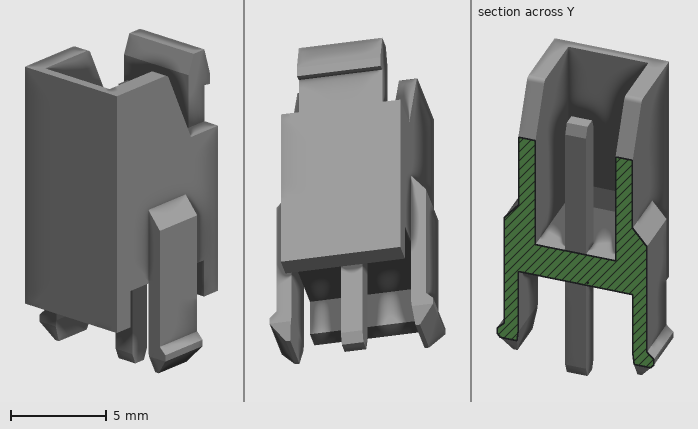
import cadquery as cq

TOP = 17.1

BODY_WIDTH = 6.43
BODY_DEPTH = 8.09
BODY_BOTTOM = 3.73
SHOULDER_Z = 13.05
SLOPE_FOOT_Y = 5.92
SLOPE_HEAD_Y = 4.05
SLOPE_ROUNDING = 0.32

CAVITY_WIDTH = 4.5
CAVITY_FRONT = 0.53
CAVITY_BACK = 6.8
CAVITY_FLOOR = 7.7
FLOOR_BEVEL_DEPTH = 0.4
FLOOR_BEVEL_HEIGHT = 1.03

SLOT_FRONT = 1.08
SLOT_BACK = 6.96
SLOT_TOP = 5.78

BARB_BACK = 8.55
BARB_CORNER_Z = 15.56
BARB_TIP_Z = 15.01
BARB_ROOT_Z = 15.08
LATCH_BEVEL_DEPTH = 0.43
LATCH_BEVEL_HEIGHT = 1.08

PIN_SIZE = 1.16
PIN_BACK = 5.4
PIN_TOP = 15.5
PIN_BEVEL_DEPTH = 0.24
PIN_BEVEL_HEIGHT = 0.6

CLIP_WIDTH = 2.98
CLIP_TIP_WIDTH = 2.22
CLIP_CENTER_Y = 4.0
CLIP_TOP = 9.94
CLIP_RAMP_END = 8.96
CLIP_OUTER = 4.02
CLIP_BARB_OUTER = 8.8 / 2
CLIP_BARB_TOP = 2.41
CLIP_BARB_CORNER = 2.03
CLIP_POINT_START = 1.68
CLIP_TIP_Z = 0.7
CLIP_TIP_INNER = 3.37
CLIP_TIP_OUTER = 3.6


def extrude_across(points, width):
    """Extrude a (Y, Z) outline along X, centred on X = 0."""
    return cq.Workplane("YZ").polyline(points).close().extrude(width / 2, both=True)


def make_housing():
    body = extrude_across(
        [
            (0, BODY_BOTTOM),
            (SLOT_FRONT, BODY_BOTTOM),
            (SLOT_FRONT, SLOT_TOP),
            (SLOT_BACK, SLOT_TOP),
            (SLOT_BACK, BODY_BOTTOM),
            (BODY_DEPTH, BODY_BOTTOM),
            (BODY_DEPTH, SHOULDER_Z),
            (SLOPE_FOOT_Y, SHOULDER_Z),
            (SLOPE_HEAD_Y, TOP),
            (0, TOP),
        ],
        BODY_WIDTH,
    )
    slope_head = cq.selectors.NearestToPointSelector((0, SLOPE_HEAD_Y, TOP))
    body = body.edges(slope_head).fillet(SLOPE_ROUNDING)
    cavity = extrude_across(
        [
            (CAVITY_FRONT, TOP),
            (CAVITY_FRONT, CAVITY_FLOOR + FLOOR_BEVEL_HEIGHT),
            (CAVITY_FRONT + FLOOR_BEVEL_DEPTH, CAVITY_FLOOR),
            (CAVITY_BACK, CAVITY_FLOOR),
            (CAVITY_BACK, TOP),
        ],
        CAVITY_WIDTH,
    )
    return body.cut(cavity)


def make_latch():
    return extrude_across(
        [
            (CAVITY_BACK, CAVITY_FLOOR),
            (BODY_DEPTH, CAVITY_FLOOR),
            (BODY_DEPTH, BARB_ROOT_Z),
            (BARB_BACK, BARB_TIP_Z),
            (BARB_BACK, BARB_CORNER_Z),
            (BODY_DEPTH, TOP),
            (CAVITY_BACK + LATCH_BEVEL_DEPTH, TOP),
            (CAVITY_BACK, TOP - LATCH_BEVEL_HEIGHT),
        ],
        CAVITY_WIDTH,
    )


def make_pin():
    front = PIN_BACK - PIN_SIZE
    return extrude_across(
        [
            (front + PIN_BEVEL_DEPTH, 0),
            (PIN_BACK - PIN_BEVEL_DEPTH, 0),
            (PIN_BACK, PIN_BEVEL_HEIGHT),
            (PIN_BACK, PIN_TOP - PIN_BEVEL_HEIGHT),
            (PIN_BACK - PIN_BEVEL_DEPTH, PIN_TOP),
            (front + PIN_BEVEL_DEPTH, PIN_TOP),
            (front, PIN_TOP - PIN_BEVEL_HEIGHT),
            (front, PIN_BEVEL_HEIGHT),
        ],
        PIN_SIZE,
    )


def make_clip():
    """Clip on the +X side: its X-Z profile, narrowed in Y towards the tip."""
    inner = BODY_WIDTH / 2
    profile = [
        (inner, CLIP_TOP),
        (CLIP_OUTER, CLIP_RAMP_END),
        (CLIP_OUTER, CLIP_BARB_TOP),
        (CLIP_BARB_OUTER, CLIP_BARB_CORNER),
        (CLIP_BARB_OUTER, CLIP_POINT_START),
        (CLIP_TIP_OUTER, CLIP_TIP_Z),
        (CLIP_TIP_INNER, CLIP_TIP_Z),
        (inner, CLIP_BARB_CORNER),
    ]
    blank = (
        cq.Workplane("XZ", origin=(0, CLIP_CENTER_Y, 0))
        .polyline(profile)
        .close()
        .extrude(CLIP_WIDTH / 2, both=True)
    )
    front = CLIP_CENTER_Y - CLIP_WIDTH / 2
    back = CLIP_CENTER_Y + CLIP_WIDTH / 2
    taper = (CLIP_WIDTH - CLIP_TIP_WIDTH) / 2
    side_limits = extrude_across(
        [
            (front + taper, CLIP_TIP_Z),
            (back - taper, CLIP_TIP_Z),
            (back, CLIP_POINT_START),
            (back, CLIP_TOP),
            (front, CLIP_TOP),
            (front, CLIP_POINT_START),
        ],
        2 * CLIP_BARB_OUTER,
    )
    return blank.intersect(side_limits)


right_clip = make_clip()
left_clip = right_clip.mirror("YZ")
result = make_housing().union(make_latch()).union(make_pin())
result = result.union(right_clip).union(left_clip)